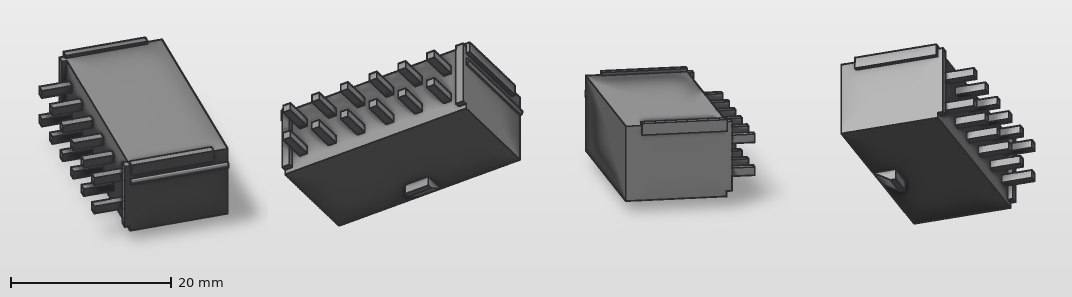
import cadquery as cq

overall_width = 27.6

rail_side_overhang = 0.52
rail_top_overhang = 0.4
rail_width = 1.0
rail_height = 1.5
rail_length = 10.8

body_width = overall_width - 2 * rail_side_overhang
body_depth = 12.8
body_height = 9.63

rib_width = 1.05
rib_depth = 0.7
rib_bottom_gap = 0.7

pin_columns = 6
pin_rows = 2
pin_pitch = 4.22
pin_size = 1.08
pin_length = 4.0
lower_row_height = 2.55
pin_root = 0.28

latch_width = 3.4
latch_height = 1.38
latch_length = 3.04
latch_flat = 0.72

ridge_height = 0.85
ridge_projection = 0.35
ridge_center_height = 7.25


def box(x_range, y_range, z_range):
    """Axis-aligned block between pairs of limits."""
    lows, highs = zip(x_range, y_range, z_range)
    sizes = [high - low for low, high in zip(lows, highs)]
    return cq.Workplane("XY").box(*sizes, centered=False).translate(lows)


def end_features(side):
    """Corner rail and standoff rib at one end (side is -1 or +1)."""
    rail_outer = side * overall_width / 2
    rail_inner = side * (overall_width / 2 - rail_width)
    rail_top = body_height + rail_top_overhang
    rail = box(
        sorted((rail_inner, rail_outer)),
        (0, rail_length),
        (rail_top - rail_height, rail_top),
    )
    rib_outer = side * body_width / 2
    rib_inner = side * (body_width / 2 - rib_width)
    rib = box(
        sorted((rib_inner, rib_outer)),
        (-rib_depth, 0),
        (rib_bottom_gap, body_height),
    )
    return rail.union(rib)


def contact_pins():
    """Grid of pins, each rooted slightly inside the front face."""
    first_column = -(pin_columns - 1) / 2 * pin_pitch
    centers = [
        (first_column + column * pin_pitch, lower_row_height + row * pin_pitch)
        for column in range(pin_columns)
        for row in range(pin_rows)
    ]
    return (
        cq.Workplane("XZ", origin=(0, pin_root, 0))
        .pushPoints(centers)
        .rect(pin_size, pin_size)
        .extrude(pin_length + pin_root)
    )


def latch_wedge():
    """Wedge ramping down from the rear bottom edge to a short flat."""
    latch_front = body_depth - latch_length
    return (
        cq.Workplane("YZ")
        .moveTo(body_depth, 0)
        .lineTo(latch_front + latch_flat, -latch_height)
        .lineTo(latch_front, -latch_height)
        .lineTo(latch_front, 0)
        .close()
        .extrude(latch_width / 2, both=True)
    )


def polarity_ridge():
    """Ridge with an arc section along the full depth of the +X side."""
    face = body_width / 2
    bottom = ridge_center_height - ridge_height / 2
    top = ridge_center_height + ridge_height / 2
    return (
        cq.Workplane("XZ", origin=(0, body_depth, 0))
        .moveTo(face, bottom)
        .threePointArc((face + ridge_projection, ridge_center_height), (face, top))
        .close()
        .extrude(body_depth)
    )


body = box((-body_width / 2, body_width / 2), (0, body_depth), (0, body_height))

result = (
    body.union(end_features(-1))
    .union(end_features(1))
    .union(contact_pins())
    .union(latch_wedge())
    .union(polarity_ridge())
)